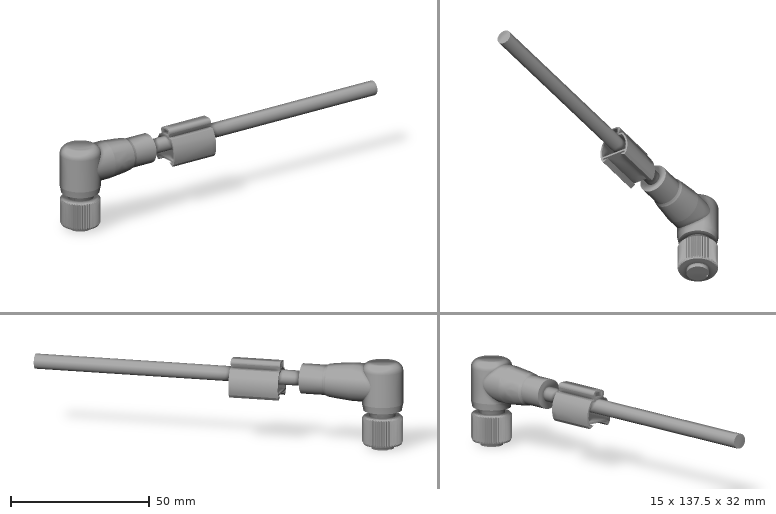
import cadquery as cq
import math


HEAD_RADIUS = 7.5
HEAD_TOP_Z = 8.0
HEAD_TOP_ROUND = 3.0
HEAD_TAPER_Z = -7.3
HEAD_BOTTOM_Z = -9.8
HEAD_BOTTOM_RADIUS = 7.0

NECK_RADIUS = 4.9
NECK_STEP_DEPTH = 0.2
NECK_STEP_Z = -11.0
NECK_STEP_START_ANGLE = 170.0
NECK_STEP_SWEEP = 190.0
NECK_SLIT_X = 2.3
NECK_SLIT_WIDTH = 0.3
NECK_SLIT_DEPTH = 0.4

NUT_RADIUS = 7.4
NUT_TOP_Z = -11.9
NUT_BOTTOM_Z = -22.4
NUT_TOP_CHAMFER = 0.7
NUT_BOTTOM_CHAMFER_HEIGHT = 1.0
NUT_BOTTOM_CHAMFER_DEPTH = 0.5
KNURL_COUNT = 72
KNURL_DEPTH = 0.4

INSERT_RADIUS = 4.1
INSERT_BOTTOM_Z = -24.0
KEYWAY_ANGLE = 233.0
KEYWAY_WIDTH = 0.9
KEYWAY_DEPTH = 0.6

BARREL_RADIUS = 7.0
BARREL_END_Y = 10.8
CONE_END_RADIUS = 6.0
CONE_END_Y = 20.0
CONE_BULGE = 0.12
SLEEVE_RADIUS = 5.5
SLEEVE_STEP_Y = 20.5
SLEEVE_START_Y = 21.2
SLEEVE_STEP_RADIUS = 5.75
SLEEVE_END_Y = 30.0

CABLE_RADIUS = 2.75
CABLE_END_Y = 130.0

CLIP_START_Y = 37.75
CLIP_LENGTH = 18.5
CLIP_WALL = 0.7
CLIP_HALF_WIDTH = 5.8
CLIP_WIDEST_Z = -3.0
CLIP_BOTTOM_Z = -7.75
SHOULDER_X = 4.1
SHOULDER_Z = 1.95
RIDGE_TOP_Z = 6.0
RIDGE_FLAT_X = 1.25
RIDGE_ROUND_X = 2.25
RIDGE_ROUND_Z = 5.55
RIDGE_HALF_WIDTH = 2.6
RIDGE_EDGE_Z = 4.4
RIDGE_NECK_X = 2.1
LEDGE_INNER_Z = 2.8
LEDGE_OUTER_X = 3.7
LEDGE_OUTER_Z = 2.6
RIDGE_HOLLOW_WIDTH = 3.2
RIDGE_HOLLOW_BOTTOM_Z = 3.6
RIDGE_HOLLOW_TOP_Z = 5.4
ARM_END_X = 5.3
ARM_END_Z = -6.7
LIP_BOTTOM_X = 4.5
LIP_TIP_X = 2.7
LIP_TIP_Z = -6.7
FLOOR_TOP_Z = -5.3


def make_head():
    """Upright cylinder with a rounded top and a tapered lower end."""
    round_centre_x = HEAD_RADIUS - HEAD_TOP_ROUND
    round_centre_z = HEAD_TOP_Z - HEAD_TOP_ROUND
    round_mid = HEAD_TOP_ROUND * math.sqrt(0.5)
    return (
        cq.Workplane("XZ")
        .moveTo(0, HEAD_BOTTOM_Z)
        .lineTo(HEAD_BOTTOM_RADIUS, HEAD_BOTTOM_Z)
        .lineTo(HEAD_RADIUS, HEAD_TAPER_Z)
        .lineTo(HEAD_RADIUS, round_centre_z)
        .threePointArc(
            (round_centre_x + round_mid, round_centre_z + round_mid),
            (round_centre_x, HEAD_TOP_Z),
        )
        .lineTo(0, HEAD_TOP_Z)
        .close()
        .revolve(360, (0, 0), (0, 1))
    )


def cylinder_z(radius, bottom_z, top_z):
    """Cylinder on the head axis."""
    return cq.Workplane("XY").workplane(offset=bottom_z).circle(radius).extrude(top_z - bottom_z)


def make_neck():
    """Short neck with a part-turn step near the nut and a narrow slit on the -Y side."""
    neck = cylinder_z(NECK_RADIUS, NUT_TOP_Z, HEAD_BOTTOM_Z)
    step = (
        cq.Workplane("XZ")
        .moveTo(NECK_RADIUS - NECK_STEP_DEPTH, NUT_TOP_Z)
        .lineTo(NECK_RADIUS, NUT_TOP_Z)
        .lineTo(NECK_RADIUS, NECK_STEP_Z)
        .lineTo(NECK_RADIUS - NECK_STEP_DEPTH, NECK_STEP_Z)
        .close()
        .revolve(NECK_STEP_SWEEP, (0, 0), (0, -1))
        .rotate((0, 0, 0), (0, 0, 1), NECK_STEP_START_ANGLE + NECK_STEP_SWEEP)
    )
    slit_y = -math.sqrt(NECK_RADIUS**2 - NECK_SLIT_X**2)
    slit = (
        cq.Workplane("XY")
        .workplane(offset=NUT_TOP_Z)
        .center(NECK_SLIT_X, slit_y)
        .rect(NECK_SLIT_WIDTH, 2 * NECK_SLIT_DEPTH)
        .extrude(HEAD_BOTTOM_Z - NUT_TOP_Z)
    )
    return neck.cut(step).cut(slit)


def make_nut():
    """Knurled nut with chamfered ends."""
    outline = []
    pitch = 2 * math.pi / KNURL_COUNT
    root_radius = NUT_RADIUS - KNURL_DEPTH
    for tooth in range(KNURL_COUNT):
        crest = tooth * pitch
        root = crest + pitch / 2
        outline.append((NUT_RADIUS * math.cos(crest), NUT_RADIUS * math.sin(crest)))
        outline.append((root_radius * math.cos(root), root_radius * math.sin(root)))
    knurled = (
        cq.Workplane("XY")
        .workplane(offset=NUT_BOTTOM_Z)
        .polyline(outline)
        .close()
        .extrude(NUT_TOP_Z - NUT_BOTTOM_Z)
    )
    envelope = (
        cq.Workplane("XZ")
        .moveTo(0, NUT_BOTTOM_Z)
        .lineTo(NUT_RADIUS - NUT_BOTTOM_CHAMFER_DEPTH, NUT_BOTTOM_Z)
        .lineTo(NUT_RADIUS, NUT_BOTTOM_Z + NUT_BOTTOM_CHAMFER_HEIGHT)
        .lineTo(NUT_RADIUS, NUT_TOP_Z - NUT_TOP_CHAMFER)
        .lineTo(NUT_RADIUS - NUT_TOP_CHAMFER, NUT_TOP_Z)
        .lineTo(0, NUT_TOP_Z)
        .close()
        .revolve(360, (0, 0), (0, 1))
    )
    return knurled.intersect(envelope)


def make_insert():
    """Contact insert with a coding keyway in its rim."""
    insert = cylinder_z(INSERT_RADIUS, INSERT_BOTTOM_Z, NUT_BOTTOM_Z)
    keyway = (
        cq.Workplane("XY")
        .workplane(offset=INSERT_BOTTOM_Z)
        .center(INSERT_RADIUS, 0)
        .rect(2 * KEYWAY_DEPTH, KEYWAY_WIDTH)
        .extrude(NUT_BOTTOM_Z - INSERT_BOTTOM_Z)
        .rotate((0, 0, 0), (0, 0, 1), KEYWAY_ANGLE)
    )
    return insert.cut(keyway)


def make_barrel_and_cable():
    """Barrel, bulged cone, sleeve and cable, turned about the Y axis."""
    cone_mid_radius = (BARREL_RADIUS + CONE_END_RADIUS) / 2 + CONE_BULGE
    cone_mid_y = (BARREL_END_Y + CONE_END_Y) / 2
    return (
        cq.Workplane("XY")
        .lineTo(BARREL_RADIUS, 0)
        .lineTo(BARREL_RADIUS, BARREL_END_Y)
        .threePointArc((cone_mid_radius, cone_mid_y), (CONE_END_RADIUS, CONE_END_Y))
        .lineTo(SLEEVE_STEP_RADIUS, SLEEVE_STEP_Y)
        .lineTo(SLEEVE_RADIUS, SLEEVE_START_Y)
        .lineTo(SLEEVE_RADIUS, SLEEVE_END_Y)
        .lineTo(CABLE_RADIUS, SLEEVE_END_Y)
        .lineTo(CABLE_RADIUS, CABLE_END_Y)
        .lineTo(0, CABLE_END_Y)
        .close()
        .revolve(360, (0, 0), (0, 1))
    )


def make_clip():
    """Label clip: hollow ridge on top, hollow body round the cable, and lips forming a label slot below."""
    plane = cq.Workplane("XZ", origin=(0, CLIP_START_Y, 0))
    floor_bottom_z = FLOOR_TOP_Z - CLIP_WALL
    half_body = (
        plane.moveTo(0, RIDGE_TOP_Z)
        .lineTo(RIDGE_FLAT_X, RIDGE_TOP_Z)
        .threePointArc((RIDGE_ROUND_X, RIDGE_ROUND_Z), (RIDGE_HALF_WIDTH, RIDGE_EDGE_Z))
        .lineTo(RIDGE_NECK_X, LEDGE_INNER_Z)
        .lineTo(LEDGE_OUTER_X, LEDGE_OUTER_Z)
        .lineTo(SHOULDER_X, SHOULDER_Z)
        .threePointArc((CLIP_HALF_WIDTH, CLIP_WIDEST_Z), (ARM_END_X, ARM_END_Z))
        .lineTo(LIP_BOTTOM_X, CLIP_BOTTOM_Z)
        .lineTo(LIP_TIP_X, LIP_TIP_Z)
        .lineTo(ARM_END_X - CLIP_WALL, LIP_TIP_Z)
        .lineTo(ARM_END_X - CLIP_WALL, floor_bottom_z)
        .lineTo(0, floor_bottom_z)
        .close()
        .extrude(-CLIP_LENGTH)
    )
    half_cavity = (
        plane.moveTo(0, SHOULDER_Z)
        .lineTo(SHOULDER_X - CLIP_WALL, SHOULDER_Z)
        .threePointArc(
            (CLIP_HALF_WIDTH - CLIP_WALL, CLIP_WIDEST_Z),
            (ARM_END_X - CLIP_WALL / 2, FLOOR_TOP_Z),
        )
        .lineTo(0, FLOOR_TOP_Z)
        .close()
        .extrude(-CLIP_LENGTH)
    )
    half_clip = half_body.cut(half_cavity)
    ridge_hollow = (
        plane.center(0, (RIDGE_HOLLOW_TOP_Z + RIDGE_HOLLOW_BOTTOM_Z) / 2)
        .rect(RIDGE_HOLLOW_WIDTH, RIDGE_HOLLOW_TOP_Z - RIDGE_HOLLOW_BOTTOM_Z)
        .extrude(-CLIP_LENGTH)
    )
    return half_clip.union(half_clip.mirror("YZ")).cut(ridge_hollow)


result = (
    make_head()
    .union(make_barrel_and_cable())
    .union(make_neck())
    .union(make_nut())
    .union(make_insert())
    .union(make_clip())
)